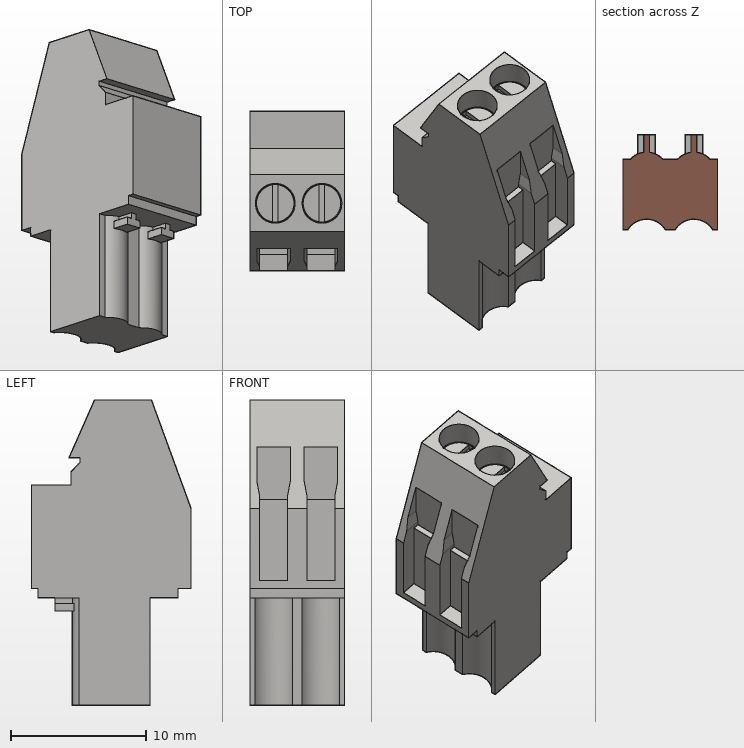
import cadquery as cq
import math


width = 7.0
depth = 11.82
height = 22.6
front_y = -depth / 2
back_y = depth / 2

pole_pitch = width / 2
pole_xs = [-pole_pitch / 2, pole_pitch / 2]

top_front_y = -2.98
top_back_y = 1.25
front_slope_end_z = 14.58
catch_y = 3.15
catch_z = 18.3
notch_y = 2.33
notch_chamfer_top_z = 17.97
neck_y = 2.98
neck_z = 17.3
shoulder_z = 16.32
body_bottom_z = 8.63
step_bottom_z = 7.95
step_front_y = -4.95
step_back_y = 5.42

tail_front_y = -2.87
tail_back_y = 2.37
pole_arc_radius = 1.63
scoop_width = 2.78
bulge_height = 0.52

tab_back_y = 4.18
tab_stem_width = 0.45
tab_head_width = 1.3
tab_head_top_z = 7.53
tab_head_bottom_z = 6.95

pocket_width = 2.08
pocket_back_y = -4.7
pocket_bottom_z = 9.22
ledge_z = 15.23
funnel_width = 2.49
funnel_back_y = -4.25
funnel_taper_bottom_z = 15.55
funnel_taper_top_z = 16.59

screw_pitch = 3.45
screw_offset_x = 0.102
screw_xs = [screw_offset_x - screw_pitch / 2, screw_offset_x + screw_pitch / 2]
screw_y = -0.9
bore_diameter = 2.94
bore_depth = 1.92
screw_diameter = 2.78
screw_length = 2.71
slot_width = 0.4
slot_depth = 0.45
screw_top_z = height - bore_depth


def block(x_center, x_size, y_min, y_max, z_min, z_max):
    """Box centred on x_center, between the given Y and Z limits."""
    lower_center = cq.Workplane("XY", origin=(x_center, y_min, z_min))
    return lower_center.box(x_size, y_max - y_min, z_max - z_min, centered=(True, False, False))


def upright_cylinder(x, y, radius, z_min, z_max):
    return cq.Workplane("XY", origin=(x, y, z_min)).circle(radius).extrude(z_max - z_min)


def make_head():
    """Side outline of the head, extruded across the full width."""
    outline = [
        (top_front_y, height),
        (front_y, front_slope_end_z),
        (front_y, body_bottom_z),
        (step_front_y, body_bottom_z),
        (step_front_y, step_bottom_z),
        (step_back_y, step_bottom_z),
        (step_back_y, body_bottom_z),
        (back_y, body_bottom_z),
        (back_y, shoulder_z),
        (neck_y, shoulder_z),
        (neck_y, neck_z),
        (notch_y, notch_chamfer_top_z),
        (notch_y, catch_z),
        (catch_y, catch_z),
        (top_back_y, height),
    ]
    return cq.Workplane("YZ").polyline(outline).close().extrude(width / 2, both=True)


def make_tail():
    """Plug tail with a concave front and a convex back at each pole."""
    tail = block(0, width, tail_front_y, tail_back_y, 0, step_bottom_z)
    scoop_y = tail_front_y - math.sqrt(pole_arc_radius**2 - (scoop_width / 2) ** 2)
    bulge_y = tail_back_y + bulge_height - pole_arc_radius
    for x in pole_xs:
        tail = tail.union(upright_cylinder(x, bulge_y, pole_arc_radius, 0, step_bottom_z))
    for x in pole_xs:
        tail = tail.cut(upright_cylinder(x, scoop_y, pole_arc_radius, 0, step_bottom_z))
    return tail


def make_coding_tab(x):
    stem = block(x, tab_stem_width, tail_back_y, tab_back_y, tab_head_top_z, step_bottom_z)
    head = block(x, tab_head_width, tail_back_y, tab_back_y, tab_head_bottom_z, tab_head_top_z)
    return stem.union(head)


def make_wire_pocket(x):
    """Straight lower pocket that opens above its ledge into a deeper, wider funnel."""
    pocket = block(x, pocket_width, front_y, pocket_back_y, pocket_bottom_z, height)
    half_narrow = pocket_width / 2
    half_wide = funnel_width / 2
    funnel_outline = [
        (x - half_narrow, ledge_z),
        (x + half_narrow, ledge_z),
        (x + half_narrow, funnel_taper_bottom_z),
        (x + half_wide, funnel_taper_top_z),
        (x + half_wide, height),
        (x - half_wide, height),
        (x - half_wide, funnel_taper_top_z),
        (x - half_narrow, funnel_taper_bottom_z),
    ]
    funnel = (
        cq.Workplane("XZ", origin=(0, funnel_back_y, 0))
        .polyline(funnel_outline)
        .close()
        .extrude(funnel_back_y - front_y)
    )
    return pocket.union(funnel)


def make_screw_hole(x):
    """Access bore with a closely fitting seat for the screw below it."""
    access = upright_cylinder(x, screw_y, bore_diameter / 2, screw_top_z, height)
    seat = upright_cylinder(x, screw_y, screw_diameter / 2, screw_top_z - screw_length, screw_top_z)
    return access.union(seat)


def make_housing():
    housing = make_head().union(make_tail())
    for x in pole_xs:
        housing = housing.union(make_coding_tab(x)).cut(make_wire_pocket(x))
    for x in screw_xs:
        housing = housing.cut(make_screw_hole(x))
    return housing


def make_screw(x):
    """Cylindrical screw with a driver slot along Y."""
    screw_radius = screw_diameter / 2
    screw = upright_cylinder(x, screw_y, screw_radius, screw_top_z - screw_length, screw_top_z)
    slot = block(
        x, slot_width, screw_y - screw_radius, screw_y + screw_radius, screw_top_z - slot_depth, screw_top_z
    )
    return screw.cut(slot)


housing = make_housing()
screws = [make_screw(x) for x in screw_xs]

result = cq.Compound.makeCompound([housing.val(), *[screw.val() for screw in screws]])